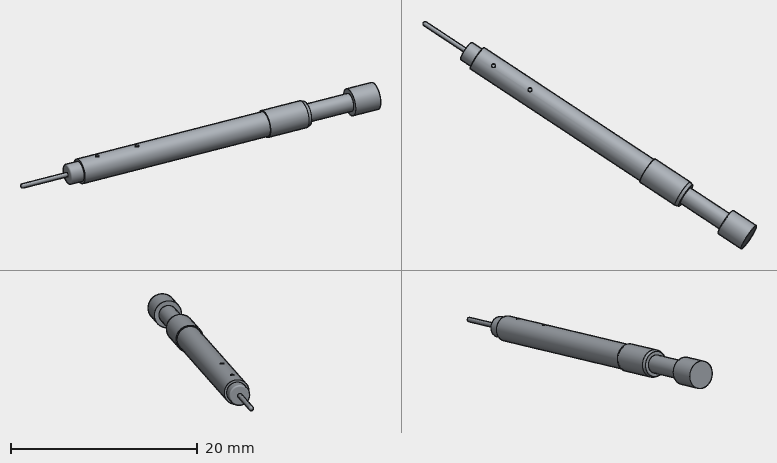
import cadquery as cq

total_length = 42.3
head_diameter = 3.0
neck_diameter = 2.0
collar_diameter = head_diameter
body_diameter = 2.75
plug_diameter = 2.25
pin_diameter = 0.5

head_length = 3.0
neck_length = 5.2
collar_length = 4.95
body_length = 22.12
plug_length = 1.5

collar_chamfer_length = 0.4
collar_chamfer_depth = 0.13
plug_fillet = 0.15

hole_diameter = 0.42
hole_depth = 0.2
hole_spacing = 4.75
last_hole_to_body_end = 2.1

head_end = total_length / 2
neck_start = head_end - head_length
collar_start = neck_start - neck_length
body_start = collar_start - collar_length
plug_start = body_start - body_length
pin_start = plug_start - plug_length
pin_tip = -total_length / 2


def turned_body():
    """Round stepped part: a half profile in the XY plane, revolved about the Y axis."""
    head_radius = head_diameter / 2
    neck_radius = neck_diameter / 2
    collar_radius = collar_diameter / 2
    body_radius = body_diameter / 2
    plug_radius = plug_diameter / 2
    pin_radius = pin_diameter / 2
    return (
        cq.Workplane("XY")
        .moveTo(0, head_end)
        .lineTo(head_radius, head_end)
        .lineTo(head_radius, neck_start)
        .lineTo(neck_radius, neck_start)
        .lineTo(neck_radius, collar_start)
        .lineTo(collar_radius - collar_chamfer_depth, collar_start)
        .lineTo(collar_radius, collar_start - collar_chamfer_length)
        .lineTo(collar_radius, body_start)
        .lineTo(body_radius, body_start)
        .lineTo(body_radius, plug_start)
        .lineTo(plug_radius, plug_start)
        .lineTo(plug_radius, pin_start + plug_fillet)
        .radiusArc((plug_radius - plug_fillet, pin_start), plug_fillet)
        .lineTo(pin_radius, pin_start)
        .lineTo(pin_radius, pin_tip + pin_radius)
        .radiusArc((0, pin_tip), pin_radius)
        .close()
        .revolve(360, (0, 0), (0, 1))
    )


def body_holes():
    """Two round blind holes cut down from the top of the body."""
    last_hole_y = plug_start + last_hole_to_body_end
    centers = [(0, last_hole_y), (0, last_hole_y + hole_spacing)]
    return (
        cq.Workplane("XY", origin=(0, 0, body_diameter / 2))
        .pushPoints(centers)
        .circle(hole_diameter / 2)
        .extrude(-hole_depth)
    )


result = turned_body().cut(body_holes())